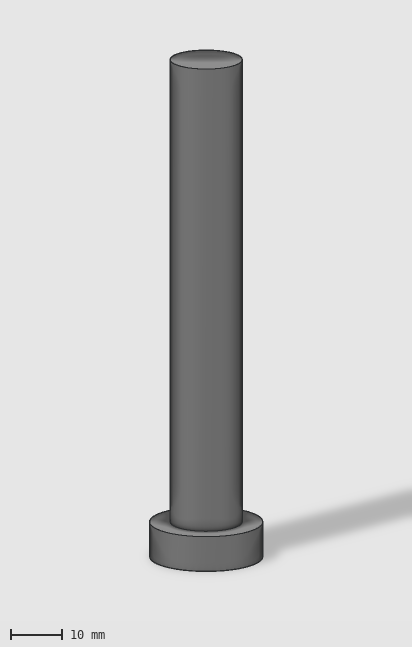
import cadquery as cq

total_length = 100.0
head_diameter = 22.0
head_height = 7.0
shank_diameter = 14.0
shank_length = total_length - head_height

head = cq.Workplane("XY").circle(head_diameter / 2).extrude(head_height)

result = head.faces(">Z").workplane().circle(shank_diameter / 2).extrude(shank_length)